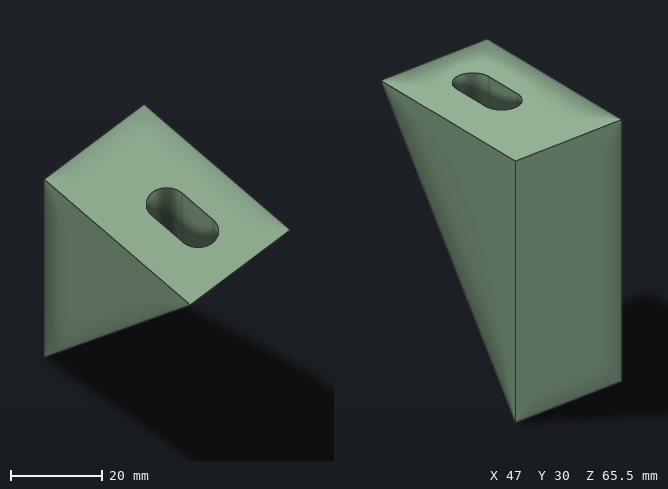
import cadquery as cq

length = 47.0
depth = 30.0
height = 65.5

slot_length = 19.0
slot_width = 9.0
slot_start = 18.85
slot_center_x = slot_start + slot_length / 2


def make_wedge():
    """Flat top at Z = height, upright face at X = 0, centred on Y = 0."""
    return (
        cq.Workplane("XZ")
        .polyline([(0, 0), (0, height), (length, height)])
        .close()
        .extrude(depth / 2, both=True)
    )


def make_slot():
    """Round-ended slot cutter running the full height."""
    return (
        cq.Workplane("XY")
        .center(slot_center_x, 0)
        .slot2D(slot_length, slot_width)
        .extrude(height)
    )


result = make_wedge().cut(make_slot())